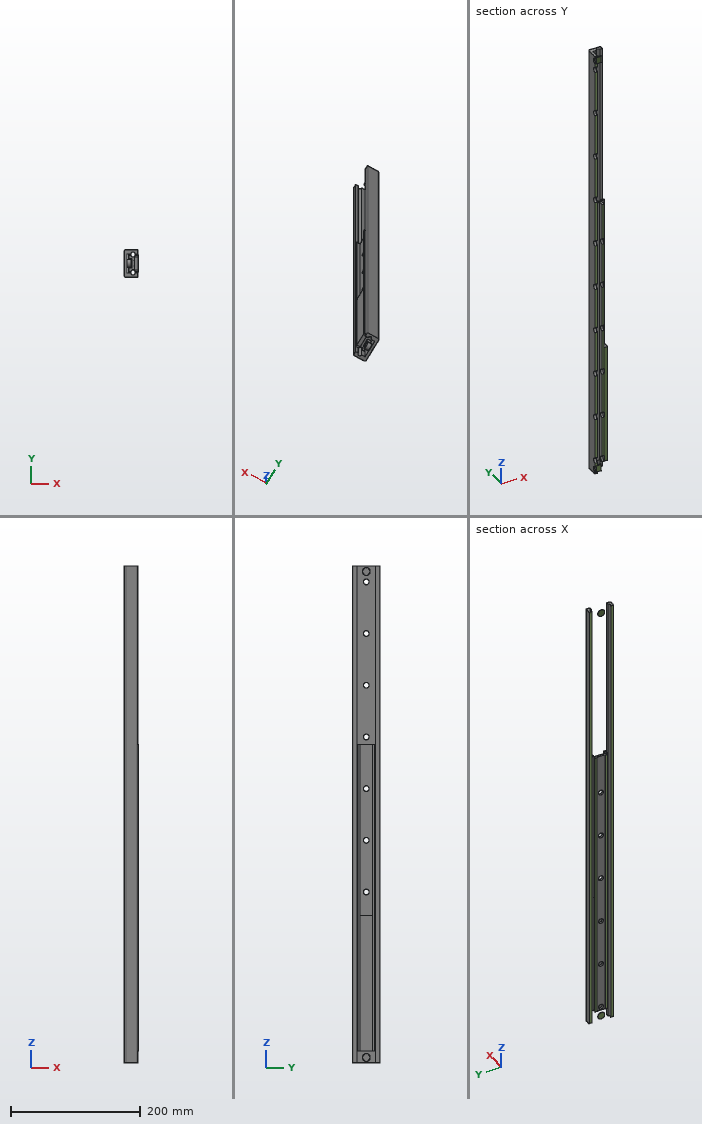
import cadquery as cq

RAIL_LENGTH = 770
RAIL_WIDTH = 43.0
RAIL_DEPTH = 21.5
WEB_THICKNESS = 5.0
FLANGE_THICKNESS = 7.0
OUTER_EDGE_RADIUS = 2.9
LIP_EDGE_RADIUS = 1.15
RAIL_TRACK_RADIUS = 3.0
TRACK_CENTRE_X = 14.0

HOLE_DIAMETER = 8.5
HOLE_COUNT = 10
HOLE_PITCH = 80.0

PIN_SHANK_DIAMETER = 10.0
PIN_HEAD_DIAMETER = 12.0
PIN_HEAD_LENGTH = 7.0
PIN_SOCKET_DIAMETER = 8
PIN_SOCKET_DEPTH = 2.0
PIN_END_DISTANCE = 8.5

TRAVELLER_BOTTOM = 18.5
TRAVELLER_FRONT = 22.0
CAGE_LENGTH = 475.0
CAGE_WIDTH = 26.0
CAGE_BACK = 7.0
CAGE_WEB_FRONT = 16.0
CAGE_WEB_THICKNESS = 4.0
CAGE_BACK_CHANNEL_WIDTH = 14.0
CAGE_TRACK_RADIUS = 3.0
SLIDER_LENGTH = 210.0
SLIDER_WIDTH = 20.0

half_width = RAIL_WIDTH / 2
track_y = half_width - FLANGE_THICKNESS
first_hole_z = (RAIL_LENGTH - (HOLE_COUNT - 1) * HOLE_PITCH) / 2
hole_heights = [first_hole_z + i * HOLE_PITCH for i in range(HOLE_COUNT)]
pin_heights = [PIN_END_DISTANCE, RAIL_LENGTH - PIN_END_DISTANCE]
cage_top = TRAVELLER_BOTTOM + CAGE_LENGTH


def block(x_start, x_end, width, z_start, length):
    """A box centred on Y = 0."""
    return cq.Workplane("XY").box(
        x_end - x_start, width, length, centered=(False, True, False)
    ).translate((x_start, 0, z_start))


def cross_rods(heights, diameter, length):
    """Round rods along +X, starting at the back of the rail."""
    return (
        cq.Workplane("YZ")
        .pushPoints([(0, z) for z in heights])
        .circle(diameter / 2)
        .extrude(length)
    )


def track_rods(radius, y, z_start, length):
    """Two rods along Z that hollow out the ball tracks on both sides."""
    return (
        cq.Workplane("XY", origin=(0, 0, z_start))
        .pushPoints([(TRACK_CENTRE_X, -y), (TRACK_CENTRE_X, y)])
        .circle(radius)
        .extrude(length)
    )


def make_rail():
    channel = block(0, RAIL_DEPTH, RAIL_WIDTH, 0, RAIL_LENGTH)
    channel = channel.edges("|Z and <X").fillet(OUTER_EDGE_RADIUS)
    channel = channel.edges("|Z and >X").fillet(LIP_EDGE_RADIUS)
    channel = channel.cut(block(WEB_THICKNESS, RAIL_DEPTH, 2 * track_y, 0, RAIL_LENGTH))
    channel = channel.cut(track_rods(RAIL_TRACK_RADIUS, track_y, 0, RAIL_LENGTH))
    channel = channel.cut(cross_rods(hole_heights, HOLE_DIAMETER, WEB_THICKNESS))
    return channel.cut(cross_rods(pin_heights, PIN_SHANK_DIAMETER, WEB_THICKNESS))


def make_pin(height):
    shank = cross_rods([height], PIN_SHANK_DIAMETER, WEB_THICKNESS)
    head = cross_rods([height], PIN_HEAD_DIAMETER, PIN_HEAD_LENGTH).translate((WEB_THICKNESS, 0, 0))
    socket = cross_rods([height], PIN_SOCKET_DIAMETER, PIN_SOCKET_DEPTH)
    return shank.union(head).cut(socket)


def make_cage():
    """An H-shaped strip with hollow ball tracks and with screw holes in line with those of the rail."""
    web_back = CAGE_WEB_FRONT - CAGE_WEB_THICKNESS
    cage = block(CAGE_BACK, TRAVELLER_FRONT, CAGE_WIDTH, TRAVELLER_BOTTOM, CAGE_LENGTH)
    cage = cage.cut(block(CAGE_BACK, web_back, CAGE_BACK_CHANNEL_WIDTH, TRAVELLER_BOTTOM, CAGE_LENGTH))
    cage = cage.cut(
        block(CAGE_WEB_FRONT, TRAVELLER_FRONT, SLIDER_WIDTH, TRAVELLER_BOTTOM, CAGE_LENGTH)
    )
    cage = cage.cut(track_rods(CAGE_TRACK_RADIUS, CAGE_WIDTH / 2, TRAVELLER_BOTTOM, CAGE_LENGTH))
    cage_hole_heights = [z for z in hole_heights if TRAVELLER_BOTTOM < z < cage_top]
    return cage.cut(cross_rods(cage_hole_heights, HOLE_DIAMETER, TRAVELLER_FRONT))


def make_slider():
    """A solid bar that fills the front channel of the cage."""
    return block(CAGE_WEB_FRONT, TRAVELLER_FRONT, SLIDER_WIDTH, TRAVELLER_BOTTOM, SLIDER_LENGTH)


rail = make_rail()
pins = [make_pin(z) for z in pin_heights]
cage = make_cage()
slider = make_slider()

result = cq.Compound.makeCompound(
    [rail.val(), *[pin.val() for pin in pins], cage.val(), slider.val()]
)